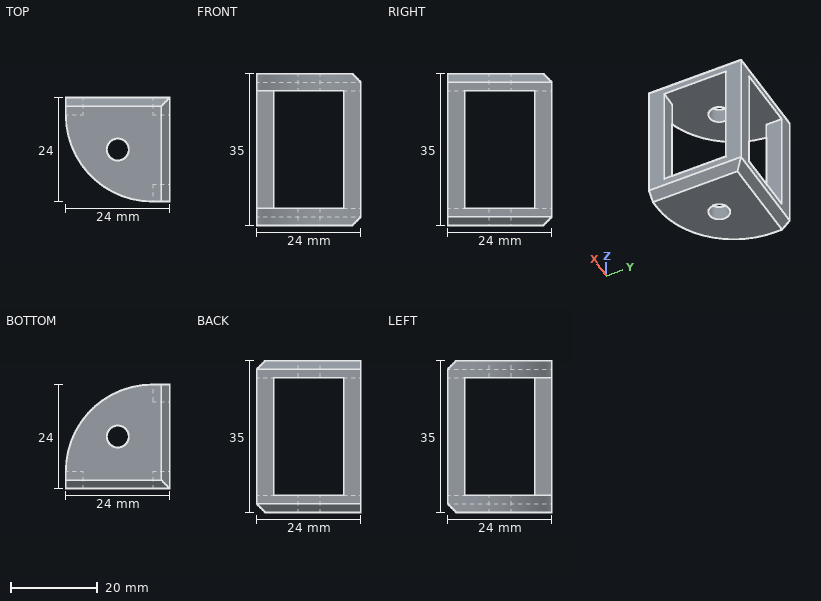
import cadquery as cq
import math

height = 35.0
side = 24.0
thickness = 4.0
chamfer = 2.0
hole_diameter = 5.0

half_side = side / 2
corner_radius = side - thickness
post_offset = half_side - thickness / 2


def quarter_round_block():
    """Full-height body with one large rounded vertical corner at -X, -Y."""
    arc_end = half_side - thickness
    arc_middle = arc_end - corner_radius * math.sqrt(0.5)
    return (
        cq.Workplane("XY")
        .moveTo(arc_end, -half_side)
        .lineTo(half_side, -half_side)
        .lineTo(half_side, half_side)
        .lineTo(-half_side, half_side)
        .lineTo(-half_side, arc_end)
        .threePointArc((arc_middle, arc_middle), (arc_end, -half_side))
        .close()
        .extrude(height)
    )


def chamfer_back_edges(body):
    """Bevel the top and bottom edges of the flat +X and +Y sides."""
    x_edges = body.faces(">X").edges("|Y")
    y_edges = body.faces(">Y").edges("|X")
    return body.newObject(x_edges.vals() + y_edges.vals()).chamfer(chamfer)


def open_space_between_plates():
    """Everything between the end plates except the three corner posts."""
    opening_height = height - 2 * thickness
    space = cq.Workplane("XY", origin=(0, 0, thickness)).rect(side, side).extrude(opening_height)
    posts = (
        cq.Workplane("XY", origin=(0, 0, thickness))
        .pushPoints([
            (-post_offset, post_offset),
            (post_offset, post_offset),
            (post_offset, -post_offset),
        ])
        .rect(thickness, thickness)
        .extrude(opening_height)
    )
    return space.cut(posts)


plate_holes = cq.Workplane("XY").circle(hole_diameter / 2).extrude(height)

frame = chamfer_back_edges(quarter_round_block())
result = frame.cut(open_space_between_plates()).cut(plate_holes)